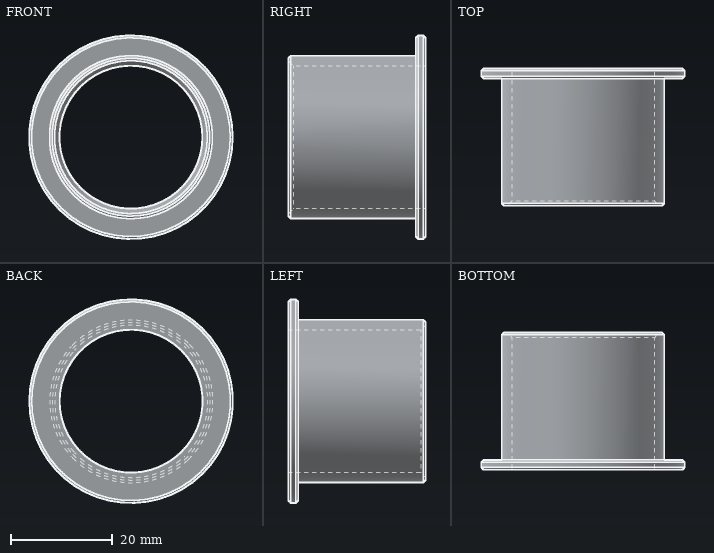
import cadquery as cq

flange_diameter = 40.0
sleeve_diameter = 32.0
bore_diameter = 28.0
total_length = 27.0
flange_thickness = 2.0
edge_chamfer = flange_thickness / 4
bore_chamfer = 1.0

sleeve_length = total_length - flange_thickness


def cylinder_along_y(diameter, start_y, length):
    """Solid cylinder centred on the Y axis, running from start_y toward +Y."""
    plane = cq.Workplane("XZ", origin=(0, start_y, 0))
    return plane.circle(diameter / 2).extrude(-length)


flange = cylinder_along_y(flange_diameter, sleeve_length, flange_thickness)
flange = flange.edges().chamfer(edge_chamfer)

sleeve = cylinder_along_y(sleeve_diameter, 0, sleeve_length)
sleeve = sleeve.faces("<Y").edges().chamfer(edge_chamfer)

bore = cylinder_along_y(bore_diameter, 0, total_length)
body = flange.union(sleeve).cut(bore)
free_end_edges = body.faces("<Y").edges()
mouth_edge = free_end_edges.edges(cq.selectors.RadiusNthSelector(0))
result = mouth_edge.chamfer(bore_chamfer)